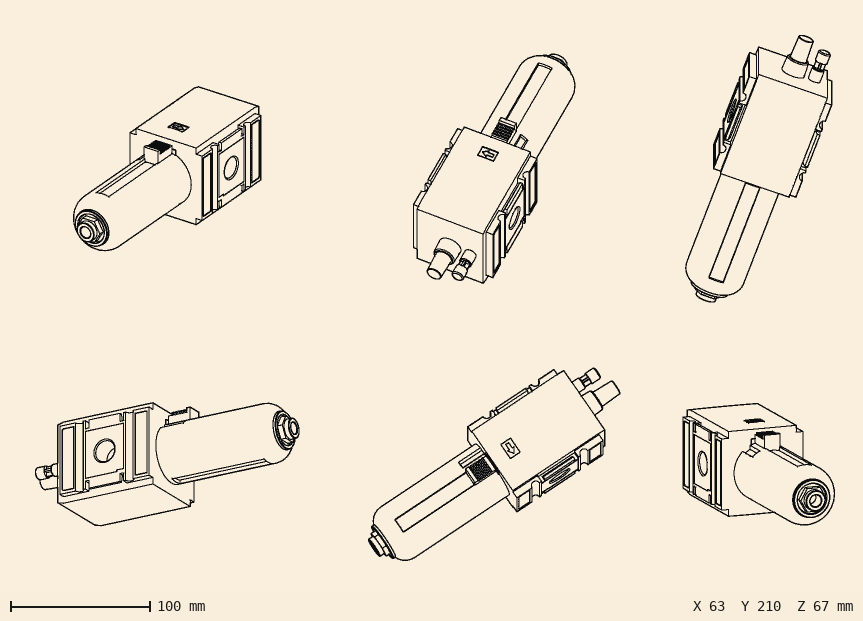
import cadquery as cq
import math


block_width = 52.5
block_edge_z = 31.3
crown_z = 33.5
block_length = 79.8
slope_run = 8.5
slope_rise = crown_z - block_edge_z

plate_length = 74.8
plate_outer_x = 31.5
plate_inner_x = block_width / 2
plate_half_height = 26.2
plate_middle_y = plate_length / 2

groove_diameter = 6.3
groove_offset = 21.0
pocket_width = 9.7
pocket_offset = 30.7
pocket_half_height = 23.7
pocket_depth = 0.6
pocket_corner = 0.8

window_width = 32.0
window_floor_z = 20.2
hook_width = 26.0
hook_tip_thickness = 2.0
hook_root_thickness = 3.8

port_pad_half_height = 18.0
port_pad_depth = 0.2
pad_step_width = 5.7
pad_step_height = 1.3
port_mouth_diameter = 17.8
port_diameter = 16.0
port_depth = 16.8

panel_width = 12.4
panel_length = 8.5
panel_y = 15.8
panel_floor_z = 32.8
arrow_top_z = 33.4
arrow_tail_x = -4.2
arrow_neck_x = 0.5
arrow_tip_x = 4.5
arrow_shaft_half = 1.3
arrow_head_half = 2.7

dome_base_diameter = 17.2
dome_shoulder_diameter = 16.2
dome_shoulder_y = 91.0
dome_shoulder_chamfer = 0.8
dome_stem_diameter = 12.4
dome_tip_diameter = 11.1
dome_end_y = 107.3
dome_end_chamfer = 0.5

knob_x = -16.2
knob_diameter = 9.0
knob_neck_y = 88.5
knob_head_y = 94.5
knob_end_y = 102.3
knob_chamfer = 0.8
knob_base_chamfer = 0.6
neck_cross_span = 7.4
neck_cross_thickness = 1.5

bowl_diameter = 43.9
sunk_radius = 19.3
shell_end_y = -82.1
round_radius = 12.2
round_end_y = -93.5
ring_end_y = -95.5
ring_diameter = 28.0
ring_chamfer = 0.5
ring_recess_diameter = 23.0
ring_recess_floor_diameter = 22.0
ring_recess_depth = 1.0
nut_flats = 17.2
nut_end_y = -98.7
spout_diameter = 15.0
spout_end_y = -102.7
spout_chamfer = 0.5
spout_bore_diameter = 8.6
spout_mouth_diameter = 9.5
spout_bore_depth = 10.5

strip_width = 11.0
strip_start_y = -3.8
strip_end_y = -80.8

latch_width = 12.2
latch_root_z = 19.0
latch_start_y = -1.0
latch_end_y = -19.1
latch_top_z = 27.5
latch_stop_z = 30.9
latch_stop_length = 3.0
rib_count = 5
rib_top_z = 29.6
first_rib_y = -4.2
latch_stop_y = latch_end_y + latch_stop_length
rib_pitch = (first_rib_y - latch_stop_y) / rib_count
rib_width = rib_pitch / 2

ear_width = 17.5
ear_top_z = 24.4
ear_thickness = 0.74
ear_corner = 0.8

notch_wall_x = -9.7
notch_radial_angle = 134.3
notch_end_y = -19.0


def box(x0, x1, y0, y1, z0, z1):
    """Box between the given limits."""
    return (
        cq.Workplane("XY")
        .box(abs(x1 - x0), abs(y1 - y0), abs(z1 - z0))
        .translate(((x0 + x1) / 2, (y0 + y1) / 2, (z0 + z1) / 2))
    )


def turned(profile):
    """Solid of revolution about the Y axis from closed (radius, y) points."""
    return cq.Workplane("XY").polyline(profile).close().revolve(360, (0, 0), (0, 1))


def y_prism(sketch, y0, y1):
    """Prism of an outline drawn on XZ, between two Y positions."""
    return sketch.extrude(y0 - y1).translate((0, y0, 0))


def crowned_block():
    """Block with arched top and bottom, both sloping down at the ends."""
    half_width = block_width / 2
    arched = y_prism(
        cq.Workplane("XZ")
        .moveTo(-half_width, block_edge_z)
        .threePointArc((0, crown_z), (half_width, block_edge_z))
        .lineTo(half_width, -block_edge_z)
        .threePointArc((0, -crown_z), (-half_width, -block_edge_z))
        .close(),
        0,
        block_length,
    )
    cap_length = block_length - plate_length
    cap_edge_z = block_edge_z - slope_rise / slope_run * cap_length
    side_outline = [
        (0, block_edge_z),
        (slope_run, crown_z),
        (plate_length - slope_run, crown_z),
        (block_length, cap_edge_z),
        (block_length, -cap_edge_z),
        (plate_length - slope_run, -crown_z),
        (slope_run, -crown_z),
        (0, -block_edge_z),
    ]
    envelope = cq.Workplane("YZ").polyline(side_outline).close().extrude(half_width, both=True)
    return arched.intersect(envelope)


def hook_tab(side):
    """Tab in the window at the top (side = 1) or bottom (side = -1) of the plate."""
    outline = [
        (plate_outer_x, side * window_floor_z),
        (plate_outer_x, side * plate_half_height),
        (plate_outer_x - hook_tip_thickness, side * plate_half_height),
        (plate_outer_x - hook_root_thickness, side * window_floor_z),
    ]
    start_y = plate_middle_y - hook_width / 2
    return y_prism(cq.Workplane("XZ").polyline(outline).close(), start_y, start_y + hook_width)


def port_pad():
    """Shallow recess around the port, with one stepped lower corner."""
    half = window_width / 2
    front_y = plate_middle_y - half
    step_z = pad_step_height - port_pad_half_height
    outline = [
        (front_y, port_pad_half_height),
        (front_y + window_width, port_pad_half_height),
        (front_y + window_width, -port_pad_half_height),
        (front_y + pad_step_width, -port_pad_half_height),
        (front_y + pad_step_width, step_z),
        (front_y, step_z),
    ]
    pad = cq.Workplane("YZ").polyline(outline).close().extrude(port_pad_depth)
    return pad.translate((plate_outer_x - port_pad_depth, 0, 0))


def port_bore():
    """Blind port with a chamfered mouth."""
    mouth_chamfer = (port_mouth_diameter - port_diameter) / 2
    mouth_x = plate_outer_x - port_pad_depth
    bore = cq.Workplane("YZ").circle(port_diameter / 2).extrude(-port_depth)
    mouth = (
        cq.Workplane("YZ")
        .circle(port_mouth_diameter / 2)
        .workplane(offset=-mouth_chamfer)
        .circle(port_diameter / 2)
        .loft()
    )
    return bore.union(mouth).translate((mouth_x, plate_middle_y, 0))


def side_plate():
    """Plate on the +X side, before the port is bored."""
    plate = box(plate_inner_x, plate_outer_x, 0, plate_length, -plate_half_height, plate_half_height)
    for direction in (1, -1):
        groove = (
            cq.Workplane("XY")
            .center(plate_outer_x, plate_middle_y + direction * groove_offset)
            .circle(groove_diameter / 2)
            .extrude(plate_half_height, both=True)
        )
        pocket_y = plate_middle_y + direction * pocket_offset
        pocket = box(
            plate_outer_x - pocket_depth, plate_outer_x,
            pocket_y - pocket_width / 2, pocket_y + pocket_width / 2,
            -pocket_half_height, pocket_half_height,
        )
        if direction == 1:
            pocket = pocket.edges("|X and >Y").chamfer(pocket_corner)
        window = box(
            plate_inner_x, plate_outer_x,
            plate_middle_y - window_width / 2, plate_middle_y + window_width / 2,
            direction * window_floor_z, direction * plate_half_height,
        )
        plate = plate.cut(groove).cut(pocket).cut(window).union(hook_tab(direction))
    return plate.cut(port_pad())


def arrow_panel():
    """Sunk rectangle with a raised arrow pointing along +X."""
    panel = box(
        -panel_width / 2, panel_width / 2,
        panel_y - panel_length / 2, panel_y + panel_length / 2,
        panel_floor_z, crown_z,
    )
    arrow = (
        cq.Workplane("XY", origin=(0, panel_y, panel_floor_z))
        .polyline([
            (arrow_tail_x, arrow_shaft_half),
            (arrow_neck_x, arrow_shaft_half),
            (arrow_neck_x, arrow_head_half),
            (arrow_tip_x, 0),
            (arrow_neck_x, -arrow_head_half),
            (arrow_neck_x, -arrow_shaft_half),
            (arrow_tail_x, -arrow_shaft_half),
        ])
        .close()
        .extrude(arrow_top_z - panel_floor_z)
    )
    return panel.cut(arrow)


def dosing_dome():
    """Stepped and slightly tapered dome on the cap."""
    shoulder_radius = dome_shoulder_diameter / 2
    tip_radius = dome_tip_diameter / 2
    return turned([
        (0, block_length),
        (dome_base_diameter / 2, block_length),
        (shoulder_radius, dome_shoulder_y - dome_shoulder_chamfer),
        (shoulder_radius - dome_shoulder_chamfer, dome_shoulder_y),
        (dome_stem_diameter / 2, dome_shoulder_y),
        (tip_radius, dome_end_y - dome_end_chamfer),
        (tip_radius - dome_end_chamfer, dome_end_y),
        (0, dome_end_y),
    ])


def filler_knob():
    """Base and head joined by a cross-shaped neck."""
    radius = knob_diameter / 2
    base = turned([
        (0, block_length),
        (radius, block_length),
        (radius, knob_neck_y),
        (radius - knob_base_chamfer, knob_neck_y + knob_base_chamfer),
        (0, knob_neck_y + knob_base_chamfer),
    ])
    head = turned([
        (0, knob_head_y),
        (radius, knob_head_y),
        (radius, knob_end_y - knob_chamfer),
        (radius - knob_chamfer, knob_end_y),
        (0, knob_end_y),
    ])
    cross = (
        cq.Workplane("XZ")
        .rect(neck_cross_span, neck_cross_thickness)
        .extrude(knob_neck_y - knob_head_y)
        .union(
            cq.Workplane("XZ")
            .rect(neck_cross_thickness, neck_cross_span)
            .extrude(knob_neck_y - knob_head_y)
        )
        .translate((0, knob_neck_y, 0))
    )
    return base.union(cross).union(head).translate((knob_x, 0, 0))


def make_housing():
    plate = side_plate()
    bore = port_bore()
    body = crowned_block().union(plate).union(plate.mirror("YZ"))
    body = body.cut(bore).cut(bore.mirror("YZ")).cut(arrow_panel())
    return body.union(dosing_dome()).union(filler_knob())


def bowl_shell():
    """Cylinder with a rounded end."""
    radius = bowl_diameter / 2
    arc_center_radius = radius - round_radius

    def round_point(depth):
        return (arc_center_radius + math.sqrt(round_radius**2 - depth**2), shell_end_y - depth)

    round_length = shell_end_y - round_end_y
    return (
        cq.Workplane("XY")
        .moveTo(0, 0)
        .lineTo(radius, 0)
        .lineTo(radius, shell_end_y)
        .threePointArc(round_point(round_length / 2), round_point(round_length))
        .lineTo(0, round_end_y)
        .close()
        .revolve(360, (0, 0), (0, 1))
    )


def grip_strips():
    """Sunk strips along the top and bottom of the bowl, with a round floor."""
    strips = box(
        -strip_width / 2, strip_width / 2,
        strip_end_y, strip_start_y,
        -bowl_diameter, bowl_diameter,
    )
    core = y_prism(cq.Workplane("XZ").circle(sunk_radius), strip_end_y, strip_start_y)
    return strips.cut(core)


def side_notch():
    """Step cut into the bowl wall: upright beside the lock button, radial on its other side."""
    angle = math.radians(notch_radial_angle)
    outline = [
        (0, 0),
        (bowl_diameter * math.cos(angle), bowl_diameter * math.sin(angle)),
        (notch_wall_x, bowl_diameter * math.sin(angle)),
        (notch_wall_x, -notch_wall_x),
    ]
    notch = y_prism(cq.Workplane("XZ").polyline(outline).close(), notch_end_y, 0)
    core = y_prism(cq.Workplane("XZ").circle(sunk_radius), notch_end_y, 0)
    return notch.cut(core)


def drain():
    """Chamfered ring with a recess, hexagon nut and bored spout."""
    ring_radius = ring_diameter / 2
    spout_radius = spout_diameter / 2
    ring = turned([
        (0, round_end_y),
        (ring_radius, round_end_y),
        (ring_radius, ring_end_y + ring_chamfer),
        (ring_radius - ring_chamfer, ring_end_y),
        (0, ring_end_y),
    ])
    recess_floor_y = ring_end_y + ring_recess_depth
    recess = turned([
        (0, ring_end_y),
        (ring_recess_diameter / 2, ring_end_y),
        (ring_recess_floor_diameter / 2, recess_floor_y),
        (0, recess_floor_y),
    ])
    nut_corners = nut_flats / math.cos(math.pi / 6)
    nut = y_prism(cq.Workplane("XZ").polygon(6, nut_corners), nut_end_y, recess_floor_y)
    spout = turned([
        (0, nut_end_y),
        (spout_radius, nut_end_y),
        (spout_radius, spout_end_y + spout_chamfer),
        (spout_radius - spout_chamfer, spout_end_y),
        (0, spout_end_y),
    ])
    return ring.cut(recess).union(nut).union(spout)


def spout_bore():
    """Blind bore with a chamfered mouth."""
    mouth_radius = spout_mouth_diameter / 2
    bore_radius = spout_bore_diameter / 2
    floor_y = spout_end_y + spout_bore_depth
    return turned([
        (0, spout_end_y),
        (mouth_radius, spout_end_y),
        (bore_radius, spout_end_y + mouth_radius - bore_radius),
        (bore_radius, floor_y),
        (0, floor_y),
    ])


def lock_button():
    """Ribbed button with a raised stop, and the rounded ears behind it."""
    half_width = latch_width / 2
    button = box(-half_width, half_width, latch_end_y, latch_start_y, latch_root_z, latch_top_z)
    button = button.union(
        box(-half_width, half_width, latch_end_y, latch_stop_y, latch_top_z, latch_stop_z)
    )
    for index in range(rib_count):
        rib_y = first_rib_y - index * rib_pitch
        rib = box(-half_width, half_width, rib_y - rib_width, rib_y, latch_top_z, rib_top_z)
        button = button.union(rib)
    ears = box(-ear_width / 2, ear_width / 2, -ear_thickness, 0, 0, ear_top_z)
    return button.union(ears.edges("|Y and >Z").fillet(ear_corner))


def make_bowl():
    body = bowl_shell().cut(grip_strips()).cut(side_notch())
    body = body.union(drain()).union(lock_button())
    return body.cut(spout_bore())


housing = make_housing()
bowl = make_bowl()

result = cq.Compound.makeCompound([housing.solids().val(), bowl.solids().val()])